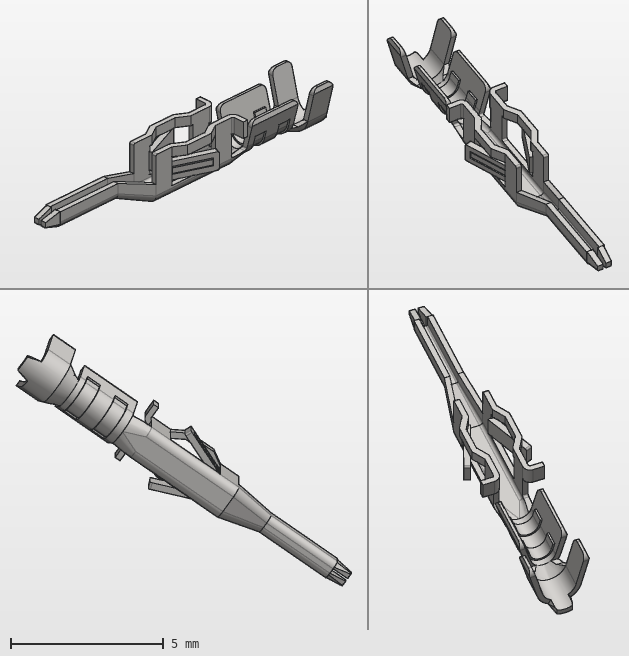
import cadquery as cq
import math

SHEET = 0.2

LENGTH = 13.0
PRONG_START = 0.61
PIN_END = 3.28
BODY_FRONT = 4.76
BODY_REAR = 8.25
WIRE_FRONT = 8.98
WIRE_REAR = 11.12
INSULATION_FRONT = 11.62
INSULATION_REAR = 12.52

BODY_HALF_WIDTH = 0.61
BODY_BOTTOM = 0.2
BODY_TOP = 2.05
BODY_BEND = 0.31
BODY_CORNER = 0.06
WALL_INSIDE = BODY_HALF_WIDTH - SHEET

WINDOW_FRONT = 5.5
WINDOW_REAR = 7.5
WINDOW_BOTTOM = 0.6
WINDOW_TOP = 1.68
WINDOW_CORNER = 0.06
BEAM_BULGE = 0.27
BEAM_SLOPE = 0.45
BEAM_SKEW = 0.1

LANCE_BOTTOM = 0.78
LANCE_TOP = 1.48
LANCE_THICKNESS = 0.23
LANCE_ROOT = 5.63
LANCE_LENGTH = 1.59
LANCE_ANGLE = 21.9
LANCE_CORNER = 0.06
GROOVE_BOTTOM = 0.99
GROOVE_TOP = 1.29
GROOVE_SLOPE = 0.09
GROOVE_DEPTH = 0.05
GROOVE_END_GAP = 0.21
GROOVE_ROOT_RUN = 0.08

WING_REACH = 1.09
WING_BOTTOM = 1.43
WING_INNER_BEND = 0.06
WING_REAR = 8.52

PIN_HALF_WIDTH = 0.34
PIN_BOTTOM = 0.82
PIN_TOP = 1.45
PIN_BEND = 0.25
RAMP_TOP = 0.94
PRONG_ROOT_INSIDE = 0.09
PRONG_ROOT_OUTSIDE = 0.31
PRONG_ROOT_BEVEL = 0.15
PRONG_TIP_INSIDE = 0.05
PRONG_TIP_OUTSIDE = 0.26
PRONG_TIP_BEVEL = 0.03
PRONG_TIP_BOTTOM = 1.05
PRONG_TIP_TOP = 1.26

WIRE_RADIUS = 0.64
WIRE_BOTTOM = BODY_BOTTOM
WIRE_TOP = 1.69
WIRE_LEAN = 15.0
INSULATION_RADIUS = 0.79
INSULATION_TOP = 1.92
INSULATION_LEAN = 14.0
LIP_HEIGHT = 0.17
LIP_WIDTH = 0.098
BARREL_CORNER = 0.23

DENT_STARTS = (9.27, 10.37)
DENT_LENGTH = 0.51
DENT_DEPTH = 0.06
DENT_TOP = 0.98

BODY_NECK_TOP = 0.53
BARREL_NECK_TOP = 0.47
NECK_FILLET = 0.08
NECK_FLAT = 0.006
NECK_SHOULDER_TOP = 0.62
NECK_SHOULDER_END = 11.34

TAIL_ROOT_HALF_WIDTH = 0.4
TAIL_END_HALF_WIDTH = 0.27

OVERLAP = 0.006
ARC_MID = math.sqrt(0.5)


def xz_plane(y):
    return cq.Workplane("XZ", origin=(0, y, 0))


def both_sides(shape):
    return shape.union(shape.mirror("YZ"))


def box(x_min, x_max, y_min, y_max, z_min, z_max):
    size = (x_max - x_min, y_max - y_min, z_max - z_min)
    return cq.Workplane("XY").box(*size, centered=False).translate((x_min, y_min, z_min))


def channel_outline(y, half_width, bottom, top, bend):
    """U-shaped sheet section with outer bend radius `bend`."""
    inside = half_width - SHEET
    centre_x = half_width - bend
    centre_z = bottom + bend
    outer_mid = bend * ARC_MID
    inner_bend = bend - SHEET
    inner_mid = inner_bend * ARC_MID
    return (
        xz_plane(y)
        .moveTo(-half_width, top)
        .lineTo(-half_width, centre_z)
        .threePointArc((-centre_x - outer_mid, centre_z - outer_mid), (-centre_x, bottom))
        .lineTo(centre_x, bottom)
        .threePointArc((centre_x + outer_mid, centre_z - outer_mid), (half_width, centre_z))
        .lineTo(half_width, top)
        .lineTo(inside, top)
        .lineTo(inside, centre_z)
        .threePointArc((centre_x + inner_mid, centre_z - inner_mid), (centre_x, bottom + SHEET))
        .lineTo(-centre_x, bottom + SHEET)
        .threePointArc((-centre_x - inner_mid, centre_z - inner_mid), (-inside, centre_z))
        .lineTo(-inside, top)
        .close()
    )


def section_loft(front, rear):
    wires = [front.wire().val(), rear.wire().val()]
    return cq.Workplane(cq.Solid.makeLoft(wires, True))


def prongs():
    """Pair of tapering prongs with bevelled lower outer edges."""
    def section(y, inside, outside, bottom, top, bevel):
        return xz_plane(y).polyline([
            (inside, bottom),
            (outside - bevel, bottom),
            (outside, bottom + bevel),
            (outside, top),
            (inside, top),
        ]).close().wire().val()

    root = section(
        PRONG_START + OVERLAP, PRONG_ROOT_INSIDE, PRONG_ROOT_OUTSIDE,
        PIN_BOTTOM, PIN_TOP, PRONG_ROOT_BEVEL,
    )
    tip = section(
        0, PRONG_TIP_INSIDE, PRONG_TIP_OUTSIDE,
        PRONG_TIP_BOTTOM, PRONG_TIP_TOP, PRONG_TIP_BEVEL,
    )
    return both_sides(cq.Workplane(cq.Solid.makeLoft([root, tip], True)))


def pin_and_ramp():
    pin_section = (PIN_HALF_WIDTH, PIN_BOTTOM, PIN_TOP, PIN_BEND)
    pin = channel_outline(PRONG_START, *pin_section).extrude(PRONG_START - PIN_END)
    ramp = section_loft(
        channel_outline(PIN_END, *pin_section),
        channel_outline(BODY_FRONT, BODY_HALF_WIDTH, BODY_BOTTOM, RAMP_TOP, BODY_BEND),
    )
    return pin.union(ramp)


def bowed_beam():
    """Strip above a window, bowed outwards between two sloping ends."""
    outer_x = BODY_HALF_WIDTH + BEAM_BULGE
    inner_x = WALL_INSIDE + BEAM_BULGE
    front = WINDOW_FRONT
    rear = WINDOW_REAR
    beam = cq.Workplane("XY").workplane(offset=WINDOW_TOP).polyline([
        (BODY_HALF_WIDTH, front),
        (outer_x, front + BEAM_SLOPE),
        (outer_x, rear - BEAM_SLOPE),
        (BODY_HALF_WIDTH, rear),
        (WALL_INSIDE, rear),
        (WALL_INSIDE, rear - BEAM_SKEW),
        (inner_x, rear - BEAM_SLOPE - BEAM_SKEW),
        (inner_x, front + BEAM_SLOPE + BEAM_SKEW),
        (WALL_INSIDE, front + BEAM_SKEW),
        (WALL_INSIDE, front),
    ])
    return beam.close().extrude(BODY_TOP - WINDOW_TOP)


def lance():
    """Flat lance along the wall, with a pressed groove, swung outwards at its root."""
    outside = BODY_HALF_WIDTH
    inside = outside - LANCE_THICKNESS
    end = LANCE_ROOT + LANCE_LENGTH
    root = WINDOW_FRONT - SHEET / 2
    blade = (
        box(inside, outside, root, end, LANCE_BOTTOM, LANCE_TOP)
        .edges("|X and >Y").fillet(LANCE_CORNER)
    )
    groove_end = end - GROOVE_END_GAP
    groove_start = LANCE_ROOT - GROOVE_ROOT_RUN
    groove = xz_plane(groove_start).polyline([
        (outside, GROOVE_BOTTOM),
        (outside, GROOVE_TOP),
        (outside - GROOVE_DEPTH, GROOVE_TOP - GROOVE_SLOPE),
        (outside - GROOVE_DEPTH, GROOVE_BOTTOM),
    ]).close().extrude(groove_start - groove_end)
    pivot = (outside, LANCE_ROOT, 0)
    pivot_top = (outside, LANCE_ROOT, 1)
    return blade.cut(groove).rotate(pivot, pivot_top, -LANCE_ANGLE)


def stop_wing():
    bend_x = BODY_HALF_WIDTH + WING_INNER_BEND
    outer_bend = WING_INNER_BEND + SHEET
    bend_y = WING_REAR - outer_bend
    inner_mid = WING_INNER_BEND * ARC_MID
    outer_mid = outer_bend * ARC_MID
    return (
        cq.Workplane("XY").workplane(offset=WING_BOTTOM)
        .moveTo(BODY_HALF_WIDTH, BODY_REAR - OVERLAP)
        .lineTo(BODY_HALF_WIDTH, bend_y)
        .threePointArc((bend_x - inner_mid, bend_y + inner_mid), (bend_x, WING_REAR - SHEET))
        .lineTo(WING_REACH, WING_REAR - SHEET)
        .lineTo(WING_REACH, WING_REAR)
        .lineTo(bend_x, WING_REAR)
        .threePointArc((bend_x - outer_mid, bend_y + outer_mid), (WALL_INSIDE, bend_y))
        .lineTo(WALL_INSIDE, BODY_REAR - OVERLAP)
        .close()
        .extrude(BODY_TOP - WING_BOTTOM)
    )


def body():
    channel = channel_outline(BODY_FRONT, BODY_HALF_WIDTH, BODY_BOTTOM, BODY_TOP, BODY_BEND)
    walls = channel.extrude(BODY_FRONT - BODY_REAR)
    walls = walls.edges("|X and <Y and >Z").fillet(BODY_CORNER)
    windows = box(
        -BODY_HALF_WIDTH, BODY_HALF_WIDTH, WINDOW_FRONT, WINDOW_REAR, WINDOW_BOTTOM, BODY_TOP
    ).edges("|X and >Y and <Z").fillet(WINDOW_CORNER)
    shell = walls.cut(windows)
    for side_piece in (bowed_beam(), stop_wing(), lance()):
        shell = shell.union(both_sides(side_piece))
    return shell


def barrel_outline(y, centre_z, outer, thickness, lean, top):
    """Round-floored section whose straight walls lean outwards up to `top`."""
    slope = math.tan(math.radians(lean))

    def bend_point(radius):
        angle = math.radians(lean)
        return radius * math.cos(angle), centre_z - radius * math.sin(angle)

    def top_x(radius):
        x, z = bend_point(radius)
        return x + (top - z) * slope

    inner = outer - thickness
    outer_x, outer_z = bend_point(outer)
    inner_x, inner_z = bend_point(inner)
    return (
        xz_plane(y)
        .moveTo(-top_x(outer), top)
        .lineTo(-outer_x, outer_z)
        .threePointArc((0, centre_z - outer), (outer_x, outer_z))
        .lineTo(top_x(outer), top)
        .lineTo(top_x(inner), top)
        .lineTo(inner_x, inner_z)
        .threePointArc((0, centre_z - inner), (-inner_x, inner_z))
        .lineTo(-top_x(inner), top)
        .close()
    )


def barrel_band(y_front, y_rear, *section):
    return barrel_outline(y_front, *section).extrude(y_front - y_rear)


def crimp_barrel(y_front, y_rear, bottom, radius, lean, top):
    """Barrel with rounded wing corners and a bevelled outer lip."""
    barrel = barrel_band(y_front, y_rear, bottom + radius, radius, SHEET, lean, top)
    barrel = barrel.edges("(>Z) and (<Y or >Y)").edges("|X").fillet(BARREL_CORNER)
    lip_x = barrel.val().BoundingBox().xmax
    bevel = xz_plane(y_front).polyline([
        (lip_x - LIP_WIDTH, top),
        (lip_x, top),
        (lip_x, top - LIP_HEIGHT),
        (lip_x - LIP_HEIGHT * math.tan(math.radians(lean)), top - LIP_HEIGHT),
    ]).close().extrude(y_front - y_rear)
    return barrel.cut(both_sides(bevel))


def wire_barrel():
    barrel = crimp_barrel(WIRE_FRONT, WIRE_REAR, WIRE_BOTTOM, WIRE_RADIUS, WIRE_LEAN, WIRE_TOP)
    centre_z = WIRE_BOTTOM + WIRE_RADIUS
    inner_radius = WIRE_RADIUS - SHEET
    for start in DENT_STARTS:
        span = (start, start + DENT_LENGTH, centre_z)
        recess = barrel_band(*span, WIRE_RADIUS, DENT_DEPTH, WIRE_LEAN, DENT_TOP)
        ridge = barrel_band(*span, inner_radius, DENT_DEPTH, WIRE_LEAN, DENT_TOP)
        barrel = barrel.cut(recess).union(ridge)
    return barrel


def body_neck():
    wall_top = WIRE_BOTTOM + WIRE_RADIUS + SHEET
    round_bend = WIRE_RADIUS - NECK_FLAT
    neck = section_loft(
        channel_outline(BODY_REAR, BODY_HALF_WIDTH, BODY_BOTTOM, wall_top, BODY_BEND),
        channel_outline(WIRE_FRONT, WIRE_RADIUS, WIRE_BOTTOM, wall_top, round_bend),
    )
    opening = box(
        -WING_REACH, WING_REACH, BODY_REAR, WIRE_FRONT, BODY_NECK_TOP, BODY_TOP
    ).edges("|X and <Z").fillet(NECK_FILLET)
    return neck.cut(opening)


def barrel_neck():
    wire_centre = WIRE_BOTTOM + WIRE_RADIUS
    wall_top = wire_centre + SHEET
    neck = section_loft(
        barrel_outline(WIRE_REAR, wire_centre, WIRE_RADIUS, SHEET, WIRE_LEAN, wall_top),
        barrel_outline(
            INSULATION_FRONT, INSULATION_RADIUS, INSULATION_RADIUS, SHEET,
            INSULATION_LEAN, wall_top,
        ),
    )
    opening = (
        cq.Workplane("YZ", origin=(-WING_REACH, 0, 0))
        .polyline([
            (WIRE_REAR, BARREL_NECK_TOP),
            (NECK_SHOULDER_END, BARREL_NECK_TOP),
            (INSULATION_FRONT, NECK_SHOULDER_TOP),
            (INSULATION_FRONT, BODY_TOP),
            (WIRE_REAR, BODY_TOP),
        ])
        .close()
        .extrude(2 * WING_REACH)
    )
    return neck.cut(opening)


def tail():
    trough = barrel_band(
        INSULATION_REAR, LENGTH, INSULATION_RADIUS, INSULATION_RADIUS, SHEET,
        INSULATION_LEAN, INSULATION_RADIUS,
    )
    outline = cq.Workplane("XY").polyline([
        (-TAIL_ROOT_HALF_WIDTH, INSULATION_REAR),
        (TAIL_ROOT_HALF_WIDTH, INSULATION_REAR),
        (TAIL_END_HALF_WIDTH, LENGTH),
        (-TAIL_END_HALF_WIDTH, LENGTH),
    ]).close().extrude(INSULATION_RADIUS)
    radial_reach = math.sqrt(INSULATION_RADIUS**2 - TAIL_ROOT_HALF_WIDTH**2)
    spread = TAIL_ROOT_HALF_WIDTH * INSULATION_RADIUS / radial_reach
    sector = xz_plane(INSULATION_REAR).polyline([
        (0, INSULATION_RADIUS),
        (-spread, 0),
        (spread, 0),
    ]).close().extrude(INSULATION_REAR - LENGTH)
    return trough.intersect(outline).intersect(sector)


insulation_barrel = crimp_barrel(
    INSULATION_FRONT, INSULATION_REAR, 0, INSULATION_RADIUS, INSULATION_LEAN, INSULATION_TOP
)

result = (
    body()
    .union(pin_and_ramp())
    .union(prongs())
    .union(body_neck())
    .union(wire_barrel())
    .union(barrel_neck())
    .union(insulation_barrel)
    .union(tail())
)